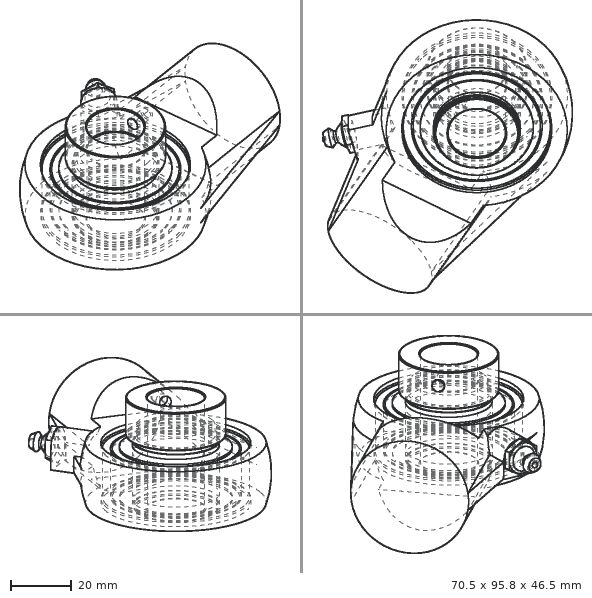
import cadquery as cq
import math


overall_length = 95.8
housing_radius = 63.7 / 2
housing_height = 21.0
half_height = housing_height / 2
recess_radius = 49.8 / 2
seat_chamfer = 0.5
seat_radius = recess_radius - seat_chamfer
socket_radius = 20.0
socket_end_y = overall_length - housing_radius
neck_y = 33.05
web_thickness = 6.0

nipple_angle = 135.0
nipple_z = 4.0
boss_radius = 6.0
boss_start = 26.8
boss_end = 42.6
hex_flats = 10.9
hex_length = 2.3

flare_base_radius = 5.4
flare_rim_radius = 4.3
flare_rim_distance = 0.6
cone_end_radius = 6.0 / 2
cone_end_distance = 2.1
neck_radius = 4.1 / 2
neck_start = 3.0
neck_end = 3.8
head_radius = 3.4
head_distance = 5.2
tip_radius = 2.4
tip_distance = 7.3
ball_radius = 1.1
ball_recess = 0.4
ball_distance = tip_distance - ball_recess

bore_radius = 19.1 / 2
bore_chamfer = 0.4
bearing_face_z = 8.5
inner_ring_radius = 28.9 / 2
inner_ring_end_radius = 28.0 / 2
shoulder_z = 11.1
inner_ring_bottom_z = -12.55
inner_ring_top_z = 17.0
extension_radius = 25.9 / 2
seal_radius = 21.7
seal_edge_width = 0.6
seal_edge_height = 0.3
seal_hub_radius = 37.65 / 2
seal_bottom_z = 7.2
seal_hub_z = 9.2
seal_inner_z = 9.5

collar_radius = 33.3 / 2
collar_bottom_z = 13.1
collar_top_z = 26.5
collar_chamfer = 0.4
screw_radius = 4.1 / 2
screw_z = 21.65
screw_inner_y = 12.6
screw_outer_y = 17.4


def turned(points):
    """Solid turned about Z from (radius, z) points, with its seam on the -X side."""
    return cq.Workplane("XZ").polyline(points).close().revolve(360).rotate((0, 0, 0), (0, 0, 1), 180)


def cylinder_z(radius, bottom, top):
    """Upright cylinder on the Z axis between two heights."""
    return cq.Workplane("XY").workplane(offset=bottom).circle(radius).extrude(top - bottom)


def make_ring_body():
    """Spherical band around the bearing, cut flat at both faces."""
    face_radius = math.sqrt(housing_radius**2 - half_height**2)
    band = (
        cq.Workplane("XZ")
        .moveTo(0, -half_height)
        .lineTo(face_radius, -half_height)
        .threePointArc((housing_radius, 0), (face_radius, half_height))
        .lineTo(0, half_height)
        .close()
        .revolve(360)
    )
    return band.rotate((0, 0, 0), (0, 0, 1), 180)


def make_socket():
    """Round bar along Y that slopes down at 45 degrees to the height of the band."""
    slope_end_y = neck_y + socket_radius - half_height
    bar = cq.Workplane("XZ").circle(socket_radius).extrude(-socket_end_y)
    side_outline = [
        (0, half_height),
        (neck_y, half_height),
        (slope_end_y, socket_radius),
        (socket_end_y, socket_radius),
        (socket_end_y, -socket_radius),
        (slope_end_y, -socket_radius),
        (neck_y, -half_height),
        (0, -half_height),
    ]
    envelope = cq.Workplane("YZ").polyline(side_outline).close().extrude(socket_radius, both=True)
    return bar.intersect(envelope)


def make_web():
    """Slice of a cone about Y that starts at the socket end and touches the band."""
    corner_distance = math.hypot(socket_radius, socket_end_y)
    corner_angle = math.atan2(socket_end_y, socket_radius)
    tangent_angle = corner_angle - math.acos(housing_radius / corner_distance)
    tangent_x = housing_radius * math.cos(tangent_angle)
    tangent_y = housing_radius * math.sin(tangent_angle)
    half_outline = [
        (0, socket_end_y),
        (-socket_radius, socket_end_y),
        (-tangent_x, tangent_y),
        (0, tangent_y),
    ]
    cone = cq.Workplane("XY").polyline(half_outline).close().revolve(360, (0, 0), (0, 1))
    slab = cq.Workplane("XY").box(2 * housing_radius, 2 * socket_end_y, web_thickness)
    return cone.intersect(slab)


def nipple_plane(distance):
    """Plane across the nipple axis, facing outwards, with its local Y along Z."""
    angle = math.radians(nipple_angle)
    outward = cq.Vector(math.cos(angle), math.sin(angle), 0)
    sideways = cq.Vector(-math.sin(angle), math.cos(angle), 0)
    origin = outward * distance + cq.Vector(0, 0, nipple_z)
    return cq.Plane(origin=origin, xDir=sideways, normal=outward)


def make_boss():
    """Boss with a round top and straight sides down to the underside of the web."""
    depth = nipple_z + web_thickness / 2
    return (
        cq.Workplane(nipple_plane(boss_start))
        .moveTo(-boss_radius, -depth)
        .lineTo(boss_radius, -depth)
        .lineTo(boss_radius, 0)
        .threePointArc((0, boss_radius), (-boss_radius, 0))
        .close()
        .extrude(boss_end - boss_start)
    )


def make_bearing_space():
    """Bearing seat with a recess at each face that tapers in to it."""
    taper_end_z = bearing_face_z + seat_chamfer
    return turned(
        [
            (0, -half_height),
            (recess_radius, -half_height),
            (recess_radius, -taper_end_z),
            (seat_radius, -bearing_face_z),
            (seat_radius, bearing_face_z),
            (recess_radius, taper_end_z),
            (recess_radius, half_height),
            (0, half_height),
        ]
    )


def make_housing():
    """Band, socket, web and nipple boss in one piece, opened for the bearing."""
    body = make_ring_body().union(make_socket()).union(make_web()).union(make_boss())
    return body.cut(make_bearing_space())


def make_outer_ring():
    """Plain ring between the housing seat and the seals."""
    ring = cylinder_z(seat_radius, -bearing_face_z, bearing_face_z)
    return ring.cut(cylinder_z(seal_radius, -bearing_face_z, bearing_face_z))


def make_inner_ring():
    """Chamfered sleeve with a wide middle and a narrow extension inside the collar."""
    return turned(
        [
            (bore_radius + bore_chamfer, inner_ring_bottom_z),
            (inner_ring_end_radius - bore_chamfer, inner_ring_bottom_z),
            (inner_ring_end_radius, inner_ring_bottom_z + bore_chamfer),
            (inner_ring_end_radius, -shoulder_z),
            (inner_ring_radius, -shoulder_z),
            (inner_ring_radius, shoulder_z),
            (inner_ring_end_radius, shoulder_z),
            (inner_ring_end_radius, collar_bottom_z),
            (extension_radius, collar_bottom_z),
            (extension_radius, inner_ring_top_z),
            (bore_radius + bore_chamfer, inner_ring_top_z),
            (bore_radius, inner_ring_top_z - bore_chamfer),
            (bore_radius, inner_ring_bottom_z + bore_chamfer),
        ]
    )


def make_seal(side):
    """Seal washer with a raised hub; side is 1 for the top one and -1 for the bottom one."""
    profile = [
        (inner_ring_radius, seal_bottom_z),
        (seal_radius, seal_bottom_z),
        (seal_radius, bearing_face_z - seal_edge_height),
        (seal_radius - seal_edge_width, bearing_face_z),
        (seal_hub_radius, bearing_face_z),
        (seal_hub_radius, seal_hub_z),
        (inner_ring_radius, seal_inner_z),
    ]
    return turned([(radius, side * z) for radius, z in profile])


def screw_cylinder(start_y, end_y):
    """Cylinder along Y at the height of the set screw."""
    start = cq.Workplane("XZ", origin=(0, start_y, screw_z))
    return start.circle(screw_radius).extrude(start_y - end_y)


def make_collar():
    """Collar that fits over the inner ring extension, with a radial hole for the set screw."""
    collar = turned(
        [
            (extension_radius, collar_bottom_z),
            (collar_radius - collar_chamfer, collar_bottom_z),
            (collar_radius, collar_bottom_z + collar_chamfer),
            (collar_radius, collar_top_z - collar_chamfer),
            (collar_radius - collar_chamfer, collar_top_z),
            (bore_radius + bore_chamfer, collar_top_z),
            (bore_radius, collar_top_z - bore_chamfer),
            (bore_radius, inner_ring_top_z),
            (extension_radius, inner_ring_top_z),
        ]
    )
    return collar.cut(screw_cylinder(0, collar_radius))


def make_nipple():
    """Hexagon with a flared stem, a neck and a tapered head that holds a ball."""
    corner_diameter = hex_flats / math.cos(math.pi / 6)
    hexagon = (
        cq.Workplane(nipple_plane(boss_end))
        .transformed(rotate=(0, 0, 90))
        .polygon(6, corner_diameter)
        .extrude(hex_length)
    )
    stem_base = nipple_plane(boss_end + hex_length)
    profile = [
        (0, 0),
        (flare_base_radius, 0),
        (flare_rim_radius, flare_rim_distance),
        (cone_end_radius, cone_end_distance),
        (neck_radius, neck_start),
        (neck_radius, neck_end),
        (head_radius, head_distance),
        (tip_radius, tip_distance),
        (0, tip_distance),
    ]
    axial_plane = cq.Plane(stem_base.origin, stem_base.xDir, stem_base.xDir.cross(stem_base.zDir))
    stem = cq.Workplane(axial_plane).polyline(profile).close().revolve(360, (0, 0), (0, 1))
    ball = cq.Workplane(nipple_plane(boss_end + hex_length + ball_distance)).sphere(ball_radius)
    return hexagon.union(stem).union(ball)


housing = make_housing()
outer_ring = make_outer_ring()
inner_ring = make_inner_ring()
seals = [make_seal(side) for side in (1, -1)]
collar = make_collar()
set_screw = screw_cylinder(screw_inner_y, screw_outer_y)
nipple = make_nipple()

result = cq.Compound.makeCompound(
    [
        housing.val(),
        outer_ring.val(),
        inner_ring.val(),
        *[seal.val() for seal in seals],
        collar.val(),
        set_screw.val(),
        nipple.val(),
    ]
)